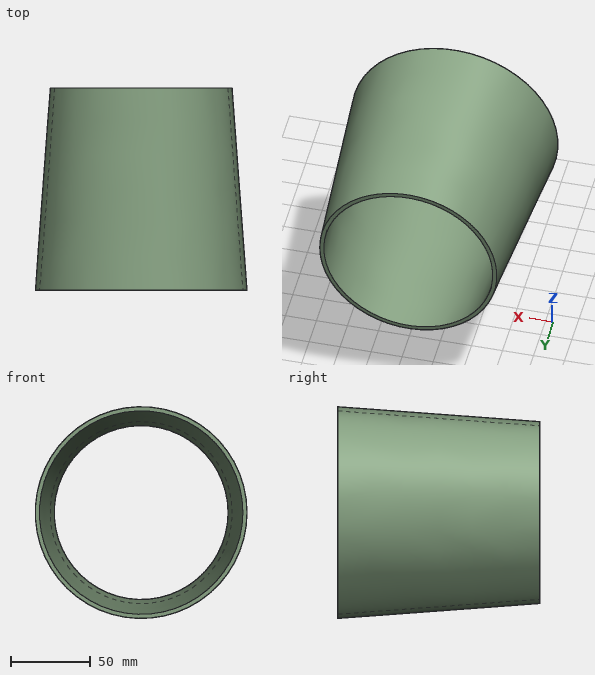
import cadquery as cq

wide_diameter = 133.0
narrow_diameter = 114.2
length = 127.0
wall = 2.7

wide_radius = wide_diameter / 2
narrow_radius = narrow_diameter / 2
wide_end = -length / 2
narrow_end = length / 2

wall_section = (
    cq.Workplane("XY")
    .moveTo(wide_radius - wall, wide_end)
    .lineTo(wide_radius, wide_end)
    .lineTo(narrow_radius, narrow_end)
    .lineTo(narrow_radius - wall, narrow_end)
    .close()
)

result = wall_section.revolve(360, (0, 0, 0), (0, 1, 0))